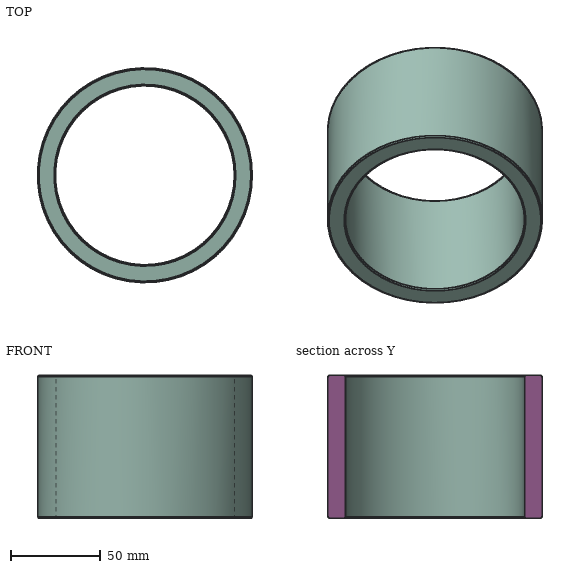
import cadquery as cq

outer_diameter = 120.0
bore_diameter = 100.0
height = 80.0
edge_chamfer = 0.8

sleeve = (
    cq.Workplane("XY")
    .circle(outer_diameter / 2)
    .circle(bore_diameter / 2)
    .extrude(height)
)

result = sleeve.faces("<Z or >Z").edges().chamfer(edge_chamfer)